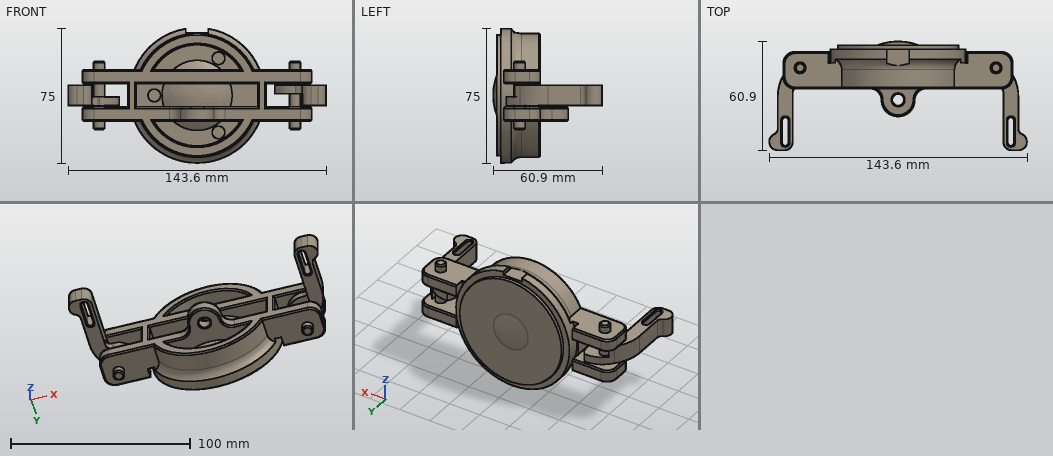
import cadquery as cq
import math


drum_radius = 69.1 / 2
flange_radius = 75.5 / 2
flange_front = 16.4
flange_back = 22.1
cove_front = 10.8
edge_chamfer = 0.9

floor_front = 9.5
opening_radius = 28.2
window_half_length = 33.8
front_dome_radius = 19.5
front_dome_height = 6.5
notch_width = 12.4
notch_floor = 35.0

recess_radius = 62.0 / 2
recess_front = 14.7
stud_count = 3
stud_diameter = 7.0
stud_circle_radius = 23.9

arm_half_length = 64.0
arm_back = 20.5
arm_inner = 6.5
arm_outer = 14.4
arm_corner_radius = 6.3
web_outer = 38.7
slot_floor = 14.4

lug_radius = 9.3
lug_center_y = -6.2
lug_hole_diameter = 6.5
lug_hole_chamfer = 0.6

plate_radius = 61.7 / 2
gasket_radius = 67.5 / 2
gasket_back = 24.3
back_dome_radius = 11.5
back_dome_height = 2.2

pin_x = 54.6
pin_y = 11.6
pin_diameter = 6.3
pin_half_length = 19.1
pin_chamfer = 0.9

lever_half_height = 5.8
lever_outer_x = -67.1
lever_width = 8.5
lever_inner_x = lever_outer_x + lever_width
lever_tip_y = -34.4
lever_bend_y = -4.2
lever_bend_radius = 23.0
lever_back_corner_y = 11.6
toe_radius = 4.7
toe_fillet = 3.3
lever_slot_width = 3.5
lever_slot_length = 15.8
lever_slot_center_y = -23.9
lever_slot_chamfer = 0.7
tab_thickness = 4.9
tab_radius = 11.4
tab_center_y = 12.4
tab_top_y = 19.1
back_radius = 17.3
tab_fillet = 3.2
lever_hole_diameter = 6.5


def disc(radius, front, back):
    """A cylinder along Y between two planes."""
    return cq.Workplane("XZ", origin=(0, back, 0)).circle(radius).extrude(back - front)


def block(x_range, y_range, z_range):
    """A box given by its limits along each axis."""
    size = [high - low for low, high in (x_range, y_range, z_range)]
    corner = (x_range[0], y_range[0], z_range[0])
    return cq.Workplane("XY").box(*size, centered=False).translate(corner)


def dome(base_radius, height, base_y, direction):
    """A spherical cap on the Y axis that bulges toward `direction` (+1 or -1 along Y)."""
    sphere_radius = (base_radius**2 + height**2) / (2 * height)
    half_angle = math.asin(base_radius / sphere_radius) / 2
    top_y = base_y + direction * height
    mid_point = (
        sphere_radius * math.sin(half_angle),
        top_y - direction * sphere_radius * (1 - math.cos(half_angle)),
    )
    return (
        cq.Workplane("XY")
        .moveTo(0, top_y)
        .threePointArc(mid_point, (base_radius, base_y))
        .lineTo(0, base_y)
        .close()
        .revolve(360, (0, 0, 0), (0, 1, 0))
    )


def studs(diameter, front, back):
    """Three cylinders along Y, evenly spaced around the main axis with one on the -X side."""
    return (
        cq.Workplane("XZ", origin=(0, back, 0))
        .polarArray(stud_circle_radius, 180, 360, stud_count)
        .circle(diameter / 2)
        .extrude(back - front)
    )


def pin_rod(x, diameter):
    """A cylinder along Z on a hinge axis, as long as a pin."""
    start = cq.Workplane("XY", origin=(x, pin_y, -pin_half_length))
    return start.circle(diameter / 2).extrude(2 * pin_half_length)



def make_drum():
    """The drum, which flares through a cove into the flange."""
    flare = flange_radius - drum_radius
    run = flange_front - cove_front
    cove_radius = (run**2 + flare**2) / (2 * flare)
    half_angle = math.asin(run / cove_radius) / 2
    cove_middle = (
        drum_radius + cove_radius * (1 - math.cos(half_angle)),
        cove_front + cove_radius * math.sin(half_angle),
    )
    return (
        cq.Workplane("XY")
        .lineTo(drum_radius - edge_chamfer, 0)
        .lineTo(drum_radius, edge_chamfer)
        .lineTo(drum_radius, cove_front)
        .threePointArc(cove_middle, (flange_radius, flange_front))
        .lineTo(flange_radius, flange_back)
        .lineTo(0, flange_back)
        .close()
        .revolve(360, (0, 0, 0), (0, 1, 0))
    )


def front_openings():
    """The round opening and the wider window between the arms, both flared at the front."""
    opening = disc(opening_radius, 0, floor_front)
    opening_flare = cq.Workplane("XY").add(
        cq.Solid.makeCone(
            opening_radius + edge_chamfer, opening_radius, edge_chamfer, cq.Vector(0, 0, 0), cq.Vector(0, 1, 0)
        )
    )
    window = block(
        (-window_half_length, window_half_length), (0, floor_front), (-arm_inner, arm_inner)
    )
    window_flare = (
        cq.Workplane("XZ")
        .rect(2 * (window_half_length + edge_chamfer), 2 * (arm_inner + edge_chamfer))
        .extrude(-edge_chamfer, taper=45)
    )
    return opening.union(opening_flare).union(window).union(window_flare)


def arm_blank():
    """The outline of one arm as a plain plate, at the height of the upper arm."""
    plate = block((-arm_half_length, arm_half_length), (0, arm_back), (arm_inner, arm_outer))
    return plate.edges("|Z").fillet(arm_corner_radius)


def make_upper_arm():
    return arm_blank().faces("<Z or >Z").edges().chamfer(edge_chamfer)


def make_lower_arm():
    """The upper arm's shape with a rounded lug in front, joined to it by concave fillets."""
    fillet_radius = -lug_center_y
    root_x = lug_radius + fillet_radius
    thickness = arm_outer - arm_inner
    lug = (
        cq.Workplane("XY", origin=(0, 0, arm_inner))
        .moveTo(-root_x, arm_back / 2)
        .lineTo(-root_x, 0)
        .radiusArc((-lug_radius, lug_center_y), fillet_radius)
        .threePointArc((0, lug_center_y - lug_radius), (lug_radius, lug_center_y))
        .radiusArc((root_x, 0), fillet_radius)
        .lineTo(root_x, arm_back / 2)
        .close()
        .extrude(thickness)
    )
    hole_center = (0, lug_center_y, arm_inner)
    hole = cq.Workplane("XY", origin=hole_center).circle(lug_hole_diameter / 2).extrude(thickness)
    arm = arm_blank().union(lug).faces("<Z or >Z").edges().chamfer(edge_chamfer)
    arm = arm.cut(hole)
    arm = arm.faces("<Z or >Z").edges("%CIRCLE").edges(
        cq.selectors.RadiusNthSelector(0)
    ).chamfer(lug_hole_chamfer)
    return arm.translate((0, 0, -arm_inner - arm_outer))


def make_web(side):
    """The web that joins the two arms just outside the drum."""
    x_range = sorted((side * window_half_length, side * web_outer))
    web_half_height = (arm_inner + arm_outer) / 2
    web = block(x_range, (0, arm_back), (-web_half_height, web_half_height))
    return web.faces("<Y").edges("|Z").chamfer(edge_chamfer)


def make_frame():
    """Both arms and their webs, cut away behind the slot floor to clear the flange rim."""
    frame = make_upper_arm().union(make_lower_arm())
    for side in (-1, 1):
        frame = frame.union(make_web(side))
    clearance = block((-web_outer, web_outer), (slot_floor, arm_back), (-arm_outer, arm_outer))
    return frame.cut(clearance.cut(disc(flange_radius, slot_floor, arm_back)))


def make_housing():
    housing = make_drum().cut(front_openings())
    housing = housing.union(make_frame())
    housing = housing.union(dome(front_dome_radius, front_dome_height, floor_front, -1))
    housing = housing.cut(disc(recess_radius, recess_front, flange_back))
    housing = housing.cut(studs(stud_diameter, floor_front, recess_front))
    notch = block(
        (-notch_width / 2, notch_width / 2), (0, flange_back), (notch_floor, flange_radius)
    )
    housing = housing.cut(notch)
    for side in (-1, 1):
        housing = housing.cut(pin_rod(side * pin_x, pin_diameter))
    return housing



def make_backing_plate():
    """A disc in the housing's back recess, with studs that end flush with the housing floor."""
    plate = disc(plate_radius, recess_front, flange_back)
    return plate.union(studs(stud_diameter, floor_front, recess_front))


def make_gasket():
    """A disc against the back of the flange, with a shallow dome."""
    gasket = disc(gasket_radius, flange_back, gasket_back)
    return gasket.union(dome(back_dome_radius, back_dome_height, gasket_back, 1))



def make_pin(side):
    pin = pin_rod(side * pin_x, pin_diameter)
    return pin.faces("<Z or >Z").edges().chamfer(pin_chamfer)


def lever_outline():
    """The lever seen along Z: a bar with a toe at its tip and an eccentric tab around the pin."""
    bend_angle = math.asin((lever_back_corner_y - lever_bend_y) / lever_bend_radius)
    back_corner_x = lever_outer_x + lever_bend_radius * (1 - math.cos(bend_angle))
    toe_center_y = lever_tip_y + toe_radius
    fillet_rise = math.sqrt((toe_radius + toe_fillet) ** 2 - toe_fillet**2)
    toe_share = toe_radius / (toe_radius + toe_fillet)
    toe_start = (lever_outer_x - toe_fillet * toe_share, toe_center_y + fillet_rise * toe_share)
    tab_bottom_y = tab_center_y - tab_radius
    tab_end_x = -pin_x + math.sqrt(tab_radius**2 - (tab_top_y - tab_center_y) ** 2)
    return (
        cq.Workplane("XY", origin=(0, 0, -lever_half_height))
        .moveTo(lever_outer_x, lever_bend_y)
        .lineTo(lever_outer_x, toe_center_y + fillet_rise)
        .radiusArc(toe_start, toe_fillet)
        .threePointArc((lever_outer_x - toe_radius, toe_center_y), (lever_outer_x, lever_tip_y))
        .lineTo(lever_inner_x - toe_radius, lever_tip_y)
        .radiusArc((lever_inner_x, toe_center_y), -toe_radius)
        .lineTo(lever_inner_x, tab_bottom_y - tab_fillet)
        .radiusArc((lever_inner_x + tab_fillet, tab_bottom_y), tab_fillet)
        .lineTo(-pin_x, tab_bottom_y)
        .threePointArc((-pin_x + tab_radius, tab_center_y), (tab_end_x, tab_top_y))
        .radiusArc((back_corner_x, lever_back_corner_y), -back_radius)
        .radiusArc((lever_outer_x, lever_bend_y), -lever_bend_radius)
        .close()
    )


def lever_slot():
    """The rounded slot near the toe, flared at both ends."""
    center_x = lever_outer_x + lever_width / 2
    slot = (
        cq.Workplane("XY", origin=(center_x, lever_slot_center_y, 0))
        .slot2D(lever_slot_length, lever_slot_width, 90)
        .extrude(lever_half_height, both=True)
    )
    for top in (False, True):
        flare = (
            cq.Workplane("XY", origin=(center_x, lever_slot_center_y, -lever_half_height))
            .slot2D(
                lever_slot_length + 2 * lever_slot_chamfer, lever_slot_width + 2 * lever_slot_chamfer, 90
            )
            .extrude(lever_slot_chamfer, taper=45)
        )
        slot = slot.union(flare.mirror("XY") if top else flare)
    return slot


def make_lever(side):
    """The -X lever, or the same lever turned half a turn about Y for the +X side."""
    lever = lever_outline().extrude(2 * lever_half_height)
    above_tab = block(
        (lever_inner_x, 0), (lever_tip_y, arm_back), (tab_thickness - lever_half_height, lever_half_height)
    )
    lever = lever.cut(above_tab).cut(lever_slot())
    lever = lever.cut(pin_rod(-pin_x, lever_hole_diameter))
    return lever if side < 0 else lever.rotate((0, 0, 0), (0, 1, 0), 180)


housing = make_housing()
backing_plate = make_backing_plate()
gasket = make_gasket()
pins = [make_pin(side) for side in (-1, 1)]
levers = [make_lever(side) for side in (-1, 1)]

result = cq.Compound.makeCompound(
    [body.val() for body in (housing, backing_plate, gasket, *pins, *levers)]
)